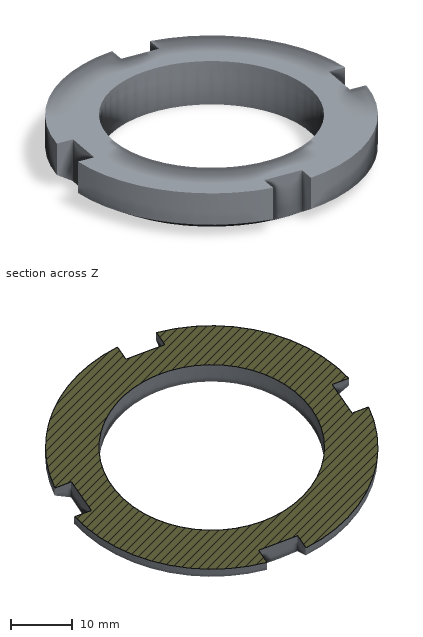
import cadquery as cq

outer_diameter = 54.0
bore_diameter = 36.5
height = 8.0
chamfer_height = 2.2
chamfer_width = 3.45
slot_width = 7.0
slot_floor_distance = 23.75
slot_count = 4
first_slot_angle = 45.0

outer_radius = outer_diameter / 2
bore_radius = bore_diameter / 2


def ring():
    """Revolve the ring section, with its lower outer corner chamfered."""
    section = [
        (bore_radius, 0),
        (outer_radius - chamfer_width, 0),
        (outer_radius, chamfer_height),
        (outer_radius, height),
        (bore_radius, height),
    ]
    return cq.Workplane("XZ").polyline(section).close().revolve(360, (0, 0), (0, 1))


def slot_cutter(angle):
    """Block that opens a full-height slot in the rim at the given angle."""
    length = outer_radius
    return (
        cq.Workplane("XY")
        .box(length, slot_width, height, centered=(False, True, False))
        .translate((slot_floor_distance, 0, 0))
        .rotate((0, 0, 0), (0, 0, 1), angle)
    )


result = ring()
for index in range(slot_count):
    result = result.cut(slot_cutter(first_slot_angle + index * 360 / slot_count))